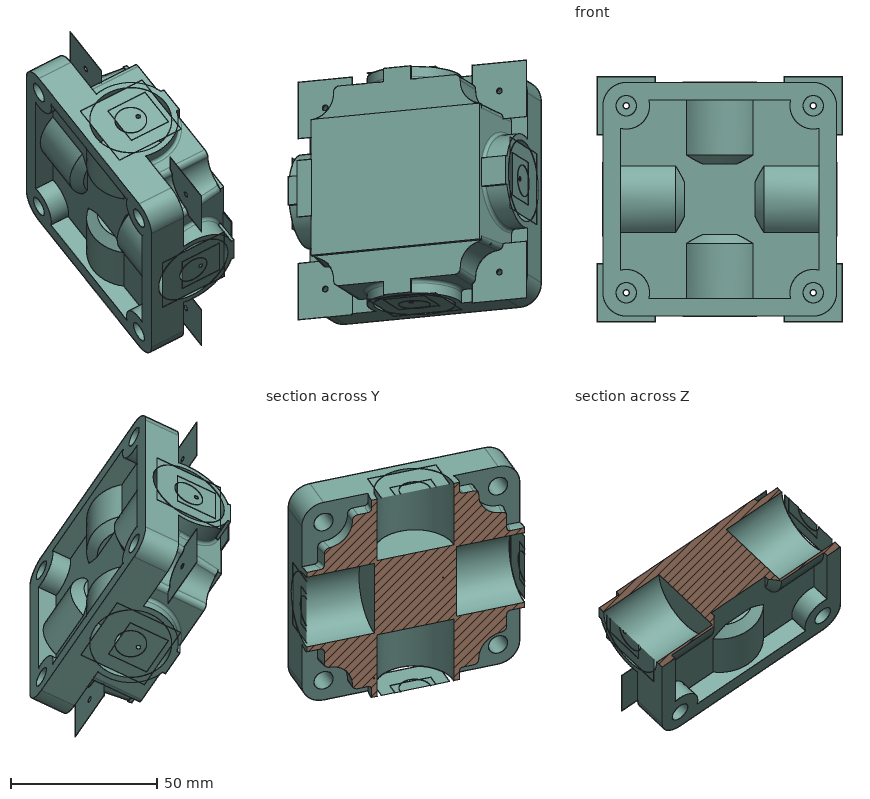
import cadquery as cq

OVERALL_DEPTH = 35.0

FLANGE_SIZE = 80.0
FLANGE_DEPTH = 13.0
CORNER_RADIUS = 8.0
CAVITY_SIZE = 68.0
CAVITY_DEPTH = 7.0
SCREW_OFFSET = FLANGE_SIZE / 2 - CORNER_RADIUS
SCREW_DIAMETER = 7.0
SCREW_BOSS_RADIUS = 8.0

BODY_BACK_Y = 33.5
BODY_FRONT_WIDTH = 68.4
BODY_BACK_WIDTH = 62.3
BODY_HEIGHT = 70.6
RELIEF_RADIUS = 8.7
RELIEF_X = SCREW_OFFSET
RELIEF_Z = 33.0
RELIEF_EDGE_FILLET = 2.0
BACK_PLATE_HEIGHT = 48.0
BODY_TRIM = 5.0

PORT_FACE = FLANGE_SIZE / 2
PORT_AXIS_Y = 17.0
PORT_RADIUS = 16.2
PORT_FILLET = 1.2
BORE_RADIUS = 14.0
BORE_END = 15.1
TAB_WIDTH = 10.0
SLEEVE_RADIUS = 15.1
SLEEVE_TIP = 12.0
SLEEVE_TIP_RADIUS = 11.5

SHEET_THICKNESS = 0.1
PORT_SHEET_SIZE = 25.0
PORT_SHEET_HOLE_RADIUS = 5.5
SMALL_SHEET_SIZE = 15.0
SMALL_SHEET_Y = 20.0
SMALL_SHEET_HOLE_RADIUS = 0.75
CORNER_SHEET_SIZE = 20.0
CORNER_SHEET_Y = 19.0
CORNER_SHEET_HOLE_RADIUS = 1.0
BACK_TONGUE_END = 36.2
BACK_TONGUE_HEIGHT = 20.0
BACK_TONGUE_THICKNESS = 0.3

CORNERS = [(x, z) for x in (-1, 1) for z in (-1, 1)]
SCREW_POINTS = [(x * SCREW_OFFSET, z * SCREW_OFFSET) for x, z in CORNERS]
SIDE_ANGLES = [0, 90, 180, 270]


def block(width, depth, height, x=0, y=0, z=0):
    """Box centred on x and z that starts at y and runs toward the back."""
    return cq.Workplane("XY").box(width, depth, height, centered=(True, False, True)).translate((x, y, z))


def rod_y(radius, depth, x=0, y=0, z=0):
    """Cylinder along Y that starts at y."""
    return cq.Workplane(cq.Solid.makeCylinder(radius, depth, cq.Vector(x, y, z), cq.Vector(0, 1, 0)))


def rod_z(radius, z_start, z_end, y=PORT_AXIS_Y):
    """Cylinder along Z, on the axis of the top port unless y is given."""
    return cq.Workplane("XY").workplane(offset=z_start).center(0, y).circle(radius).extrude(z_end - z_start)


def square_z(size, z_start, z_end, y=PORT_AXIS_Y):
    """Square plate across Z, centred on the axis of the top port unless y is given."""
    return cq.Workplane("XY").workplane(offset=z_start).center(0, y).rect(size, size).extrude(z_end - z_start)


def on_all_sides(shape):
    """Copies of a top-side shape, turned about Y onto each of the four sides."""
    return [shape.rotate((0, 0, 0), (0, 1, 0), angle) for angle in SIDE_ANGLES]


def add_all(part, shapes):
    for shape in shapes:
        part = part.union(shape)
    return part


def cut_all(part, shapes):
    for shape in shapes:
        part = part.cut(shape)
    return part


def side_wall_x(y):
    """Half width of the body at depth y, along its leaning side walls."""
    lean = (BODY_FRONT_WIDTH - BODY_BACK_WIDTH) / 2 / (BODY_BACK_Y - FLANGE_DEPTH)
    return BODY_FRONT_WIDTH / 2 - lean * (y - FLANGE_DEPTH)


def leaning_slab(y_start, y_end, height):
    """Slab between the two leaning side walls, centred on z."""
    return (
        cq.Workplane("XY")
        .workplane(offset=-height / 2)
        .moveTo(-side_wall_x(y_start), y_start)
        .lineTo(side_wall_x(y_start), y_start)
        .lineTo(side_wall_x(y_end), y_end)
        .lineTo(-side_wall_x(y_end), y_end)
        .close()
        .extrude(height)
    )


def make_body():
    """Rear body with its four collars, blended before the front and back are trimmed flat."""
    y_start = -BODY_TRIM
    y_end = BODY_BACK_Y + BODY_TRIM
    body = leaning_slab(y_start, y_end, BODY_HEIGHT)

    for x_sign, z_sign in CORNERS:
        scoop = rod_y(RELIEF_RADIUS, y_end - y_start, x_sign * RELIEF_X, y_start, z_sign * RELIEF_Z)
        body = body.cut(scoop)
    end_wall_edges = body.faces("<Z or >Z").edges("|Y")
    side_wall_edges = body.faces("<X or >X").edges("not |Z")
    body = end_wall_edges.add(side_wall_edges).fillet(RELIEF_EDGE_FILLET)

    body = add_all(body, on_all_sides(rod_z(PORT_RADIUS, BORE_END, PORT_FACE)))
    inner = PORT_FACE - PORT_FILLET
    y_low = PORT_AXIS_Y - BORE_RADIUS / 2
    y_high = PORT_AXIS_Y + BORE_RADIUS / 2
    near_axis = BORE_RADIUS / 2
    on_x_axis = cq.selectors.BoxSelector((-inner, y_low, -near_axis), (inner, y_high, near_axis))
    on_z_axis = cq.selectors.BoxSelector((-near_axis, y_low, -inner), (near_axis, y_high, inner))
    collar_roots = body.edges(on_x_axis + on_z_axis)
    body = collar_roots.fillet(PORT_FILLET)
    return body.intersect(block(FLANGE_SIZE, BODY_BACK_Y - FLANGE_DEPTH, FLANGE_SIZE, y=FLANGE_DEPTH))


def make_flange():
    """Rounded square frame; its cavity leaves a round boss about each screw hole."""
    flange = block(FLANGE_SIZE, FLANGE_DEPTH, FLANGE_SIZE).edges("|Y").fillet(CORNER_RADIUS)
    cavity = block(CAVITY_SIZE, CAVITY_DEPTH, CAVITY_SIZE)
    cavity = cut_all(cavity, [rod_y(SCREW_BOSS_RADIUS, CAVITY_DEPTH, x, 0, z) for x, z in SCREW_POINTS])
    return flange.cut(cavity)


def make_sleeve():
    """Closed cone-ended sleeve about the top bore, where it bulges into the cavity."""
    return (
        cq.Workplane("YZ")
        .moveTo(PORT_AXIS_Y, SLEEVE_TIP)
        .lineTo(PORT_AXIS_Y + SLEEVE_TIP_RADIUS, SLEEVE_TIP)
        .lineTo(PORT_AXIS_Y + SLEEVE_RADIUS, BORE_END)
        .lineTo(PORT_AXIS_Y + SLEEVE_RADIUS, CAVITY_SIZE / 2)
        .lineTo(PORT_AXIS_Y, CAVITY_SIZE / 2)
        .close()
        .revolve(360, (PORT_AXIS_Y, 0), (PORT_AXIS_Y, 1))
    )


def make_tab():
    """Flat-backed key along the back of the top collar."""
    length = PORT_FACE - BORE_END
    depth = BODY_BACK_Y - PORT_AXIS_Y
    return block(TAB_WIDTH, depth, length, y=PORT_AXIS_Y, z=BORE_END + length / 2)


def make_port_sheets():
    """Two pierced square sheets across the mouth of the top bore.

    Each sheet steps down by its thickness where it spans the opening beneath it.
    """
    t = SHEET_THICKNESS
    z = PORT_FACE
    large = square_z(PORT_SHEET_SIZE, z, z + t).cut(rod_z(BORE_RADIUS, z, z + t))
    large_sunk = square_z(PORT_SHEET_SIZE, z - t, z).intersect(rod_z(BORE_RADIUS, z - t, z))
    hole = rod_z(PORT_SHEET_HOLE_RADIUS, z - t, z)
    small = square_z(SMALL_SHEET_SIZE, z, z + t, SMALL_SHEET_Y).cut(rod_z(PORT_SHEET_HOLE_RADIUS, z, z + t))
    small_sunk = square_z(SMALL_SHEET_SIZE, z - t, z, SMALL_SHEET_Y).intersect(hole)
    small_hole = rod_z(SMALL_SHEET_HOLE_RADIUS, z - t, z + t, SMALL_SHEET_Y)
    sheets = large.union(large_sunk.cut(hole)).union(small).union(small_sunk)
    return sheets.cut(small_hole)


def make_corner_sheet(x, z):
    """Pierced square sheet behind the flange, centred on a screw."""
    sheet = block(CORNER_SHEET_SIZE, SHEET_THICKNESS, CORNER_SHEET_SIZE, x, CORNER_SHEET_Y, z)
    return sheet.cut(rod_y(CORNER_SHEET_HOLE_RADIUS, SHEET_THICKNESS, x, CORNER_SHEET_Y, z))


def make_back():
    """Raised back plate with a thin tongue that sticks out past its +X edge."""
    plate = leaning_slab(BODY_BACK_Y, OVERALL_DEPTH, BACK_PLATE_HEIGHT)
    tongue = block(
        BACK_TONGUE_END,
        BACK_TONGUE_THICKNESS,
        BACK_TONGUE_HEIGHT,
        x=BACK_TONGUE_END / 2,
        y=OVERALL_DEPTH - BACK_TONGUE_THICKNESS,
    )
    return plate.union(tongue)


result = make_flange().union(make_body()).union(make_back())
result = add_all(result, on_all_sides(make_sleeve()) + on_all_sides(make_tab()))
result = cut_all(result, on_all_sides(rod_z(BORE_RADIUS, BORE_END, PORT_FACE)))
result = cut_all(result, [rod_y(SCREW_DIAMETER / 2, FLANGE_DEPTH, x, 0, z) for x, z in SCREW_POINTS])
result = add_all(result, on_all_sides(make_port_sheets()))
result = add_all(result, [make_corner_sheet(x, z) for x, z in SCREW_POINTS])